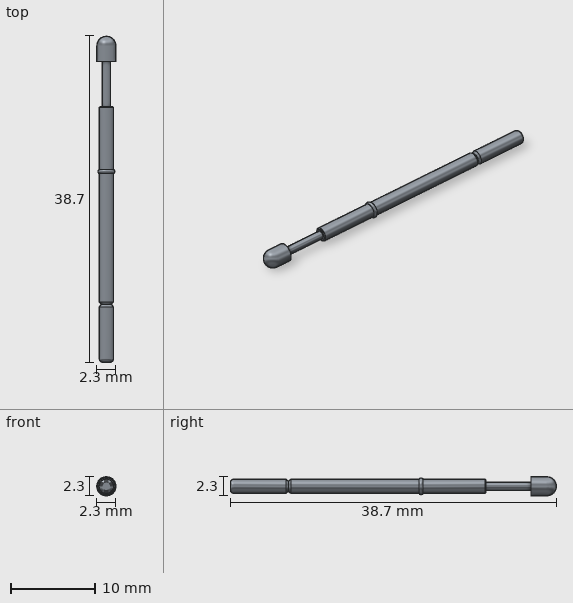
import cadquery as cq
import math

total_length = 38.7

head_diameter = 2.3
head_radius = head_diameter / 2
head_length = 3.0

stem_diameter = 1.0
stem_radius = stem_diameter / 2

barrel_diameter = 1.7
barrel_radius = barrel_diameter / 2
barrel_length = 30.35
mouth_chamfer = 0.1
tail_fillet = 0.43

bead_center = 22.65
bead_width = 0.45
bead_height = 0.15

groove_center = 6.9
groove_width = 0.58
groove_depth = 0.25

overlap = 0.4


def rod(radius, start, end):
    """Cylinder on the Y axis from start to end."""
    base = cq.Workplane("XZ", origin=(0, start, 0))
    return base.circle(radius).extrude(start - end)


def turned(profile):
    """Revolve an XY profile a full turn about the Y axis."""
    return profile.close().revolve(360, (0, 0, 0), (0, 1, 0))


def make_head():
    """Cylindrical head ending in a half sphere."""
    base = total_length - head_length
    dome_start = total_length - head_radius
    dome_mid = head_radius * math.sqrt(0.5)
    profile = (
        cq.Workplane("XY")
        .moveTo(0, base)
        .lineTo(head_radius, base)
        .lineTo(head_radius, dome_start)
        .threePointArc((dome_mid, dome_start + dome_mid), (0, total_length))
    )
    return turned(profile)


def make_barrel():
    """Barrel with a chamfered mouth and a rounded tail."""
    barrel = rod(barrel_radius, 0, barrel_length)
    barrel = barrel.faces(">Y").edges().chamfer(mouth_chamfer)
    return barrel.faces("<Y").edges().fillet(tail_fillet)


def make_bead():
    """Press-fit ring with a rounded crest."""
    profile = (
        cq.Workplane("XY")
        .moveTo(0, bead_center - bead_width / 2)
        .lineTo(barrel_radius, bead_center - bead_width / 2)
        .threePointArc(
            (barrel_radius + bead_height, bead_center),
            (barrel_radius, bead_center + bead_width / 2),
        )
        .lineTo(0, bead_center + bead_width / 2)
    )
    return turned(profile)


def make_groove_cutter():
    """V-shaped ring that cuts the crimp groove."""
    profile = (
        cq.Workplane("XY")
        .moveTo(barrel_radius, groove_center - groove_width / 2)
        .lineTo(barrel_radius - groove_depth, groove_center)
        .lineTo(barrel_radius, groove_center + groove_width / 2)
    )
    return turned(profile)


stem = rod(stem_radius, barrel_length - overlap, total_length - head_length + overlap)
body = make_barrel().union(make_bead()).cut(make_groove_cutter())
result = body.union(stem).union(make_head())